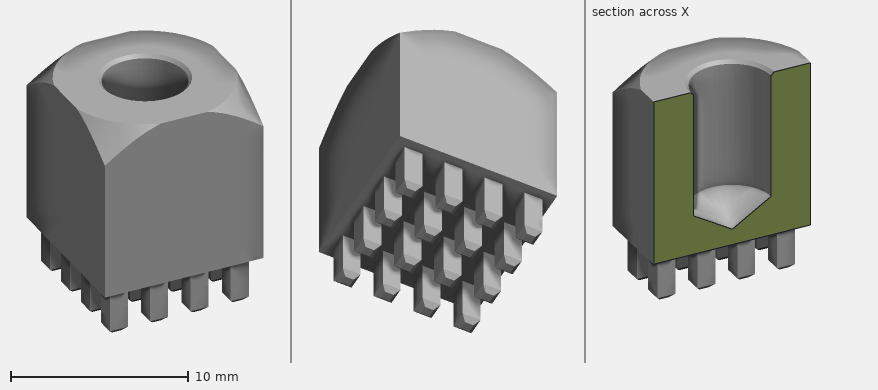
import cadquery as cq
import math

body_side = 10.0
body_height = 10.5

top_face_radius = 5.22
corner_radius = body_side / math.sqrt(2)
trim_depth = corner_radius - top_face_radius

hole_radius = 4.92 / 2
mouth_radius = 5.32 / 2
mouth_depth = mouth_radius - hole_radius
hole_depth = 8.0
drill_point_angle = 118.0
drill_point_depth = hole_radius / math.tan(math.radians(drill_point_angle / 2))

pin_pitch = 2.54
pins_per_side = 4
pin_width = 1.14
pin_length = 3.0
pin_chamfer = 0.3


def make_body():
    """Square block whose top corners are cut back by a 45 degree cone."""
    block = cq.Workplane("XY").rect(body_side, body_side).extrude(body_height)
    envelope = (
        cq.Workplane("XZ")
        .lineTo(corner_radius, 0)
        .lineTo(corner_radius, body_height - trim_depth)
        .lineTo(top_face_radius, body_height)
        .lineTo(0, body_height)
        .close()
        .revolve(360, (0, 0), (0, 1))
    )
    return block.intersect(envelope)


def make_hole():
    """Solid of the hole: countersink, straight bore and conical bottom."""
    bore_end = body_height - hole_depth
    return (
        cq.Workplane("XZ")
        .moveTo(0, body_height)
        .lineTo(mouth_radius, body_height)
        .lineTo(hole_radius, body_height - mouth_depth)
        .lineTo(hole_radius, bore_end)
        .lineTo(0, bore_end - drill_point_depth)
        .close()
        .revolve(360, (0, 0), (0, 1))
    )


def make_pins():
    """Square pins below the body with chamfered tips."""
    return (
        cq.Workplane("XY")
        .rarray(pin_pitch, pin_pitch, pins_per_side, pins_per_side)
        .rect(pin_width, pin_width)
        .extrude(-pin_length)
        .faces("<Z")
        .chamfer(pin_chamfer)
    )


result = make_body().cut(make_hole()).union(make_pins())